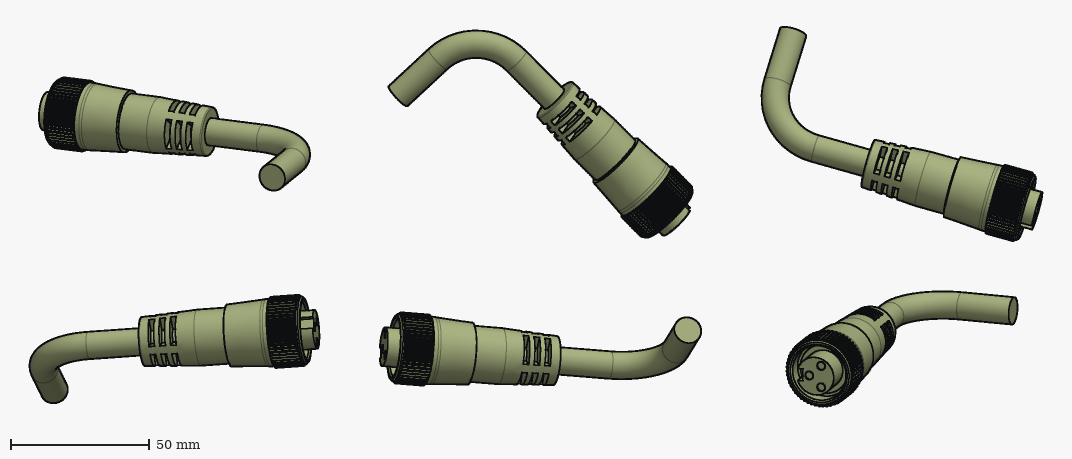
import cadquery as cq
import math

MATING_END = 3.8
NUT_END = 31.9
BOOT_END = 63.7

RIM_RADIUS = 11.6
NUT_RADIUS = 12.3
RIM_CHAMFER = NUT_RADIUS - RIM_RADIUS
TAPER_RIM_RADIUS = 12.2
TAPER_END_RADIUS = 11.3
COLLAR_END = 17.5
TAPER_START = 18.5
SOCKET_RADIUS = 10.2
SOCKET_FLOOR = 10.0
SOCKET_CHAMFER = 0.7
BARREL_RADIUS = 9.1

KNURL_START = 5.1
KNURL_END = 15.9
KNURL_RADIUS = 12.9
KNURL_CHAMFER = 0.3
TOOTH_COUNT = 55
FIRST_TOOTH_ANGLE = 90
TOOTH_TIP_WIDTH = 0.3
TOOTH_BASE_WIDTH = 1.1
TOOTH_OVERLAP = 0.3

INSERT_RADIUS = 7.1
KEYWAY_WIDTH = 4.5
KEYWAY_FLOOR = 4.8
CONTACT_RADIUS = 1.5
CONTACT_DEPTH = 0.5
CONTACTS = [(2.4, 0), (-2.2, 4.0), (-2.2, -4.0)]

BOOT_RADIUS = 10.2
BOOT_START = 32.2
BOOT_TAPER_START = 43.0
BOOT_END_RADIUS = 8.9
BOOT_FILLET = 0.4

SLOT_START = 49.9
SLOT_WIDTH = 2.1
SLOT_PITCH = 4.0
SLOT_ROWS = 3
SLOTS_PER_ROW = 4
SLOT_ANGLE = 70
SLOT_FLOOR_RADIUS = 4.3
SLOT_OVERCUT = 1.1

CABLE_RADIUS = 5.0
CABLE_STRAIGHT = 20.0
CABLE_BEND_RADIUS = 20.0


def turned(points):
    """Revolve an (X, radius) outline about the X axis."""
    return cq.Workplane("XZ").polyline(points).close().revolve(360, (0, 0, 0), (1, 0, 0))


def cylinder(start, end, radius, y=0, z=0):
    """Cylinder parallel to X."""
    return cq.Workplane("YZ", origin=(start, 0, 0)).center(y, z).circle(radius).extrude(end - start)


def knurl_tooth():
    """One tapered tooth at the top of the nut, chamfered at both ends of its tip."""
    half_base = TOOTH_BASE_WIDTH / 2
    half_tip = TOOTH_TIP_WIDTH / 2
    root = NUT_RADIUS - TOOTH_OVERLAP
    outline = [
        (-half_base, root),
        (-half_base, NUT_RADIUS),
        (-half_tip, KNURL_RADIUS),
        (half_tip, KNURL_RADIUS),
        (half_base, NUT_RADIUS),
        (half_base, root),
    ]
    return (
        cq.Workplane("YZ", origin=(KNURL_START, 0, 0))
        .polyline(outline)
        .close()
        .extrude(KNURL_END - KNURL_START)
        .edges(">Z and |Y")
        .chamfer(KNURL_CHAMFER)
    )


def make_nut():
    nut = turned([
        (MATING_END, SOCKET_RADIUS + SOCKET_CHAMFER),
        (MATING_END, RIM_RADIUS),
        (MATING_END + RIM_CHAMFER, NUT_RADIUS),
        (COLLAR_END, NUT_RADIUS),
        (TAPER_START, TAPER_RIM_RADIUS),
        (NUT_END, TAPER_END_RADIUS),
        (NUT_END, BARREL_RADIUS),
        (SOCKET_FLOOR, BARREL_RADIUS),
        (SOCKET_FLOOR, SOCKET_RADIUS),
        (MATING_END + SOCKET_CHAMFER, SOCKET_RADIUS),
    ])
    tooth = knurl_tooth().val()
    teeth = [
        tooth.rotate(cq.Vector(0, 0, 0), cq.Vector(1, 0, 0), FIRST_TOOTH_ANGLE + i * 360 / TOOTH_COUNT)
        for i in range(TOOTH_COUNT)
    ]
    return cq.Workplane(nut.val().fuse(*teeth))


def boot_slot(start):
    """Sector-shaped slot cutter, centred on +Z."""
    reach = BOOT_RADIUS + SLOT_OVERCUT
    half_angle = math.radians(SLOT_ANGLE / 2)

    def on_arc(radius, angle):
        return (radius * math.sin(angle), radius * math.cos(angle))

    return (
        cq.Workplane("YZ", origin=(start, 0, 0))
        .moveTo(*on_arc(SLOT_FLOOR_RADIUS, -half_angle))
        .lineTo(*on_arc(reach, -half_angle))
        .threePointArc((0, reach), on_arc(reach, half_angle))
        .lineTo(*on_arc(SLOT_FLOOR_RADIUS, half_angle))
        .threePointArc((0, SLOT_FLOOR_RADIUS), on_arc(SLOT_FLOOR_RADIUS, -half_angle))
        .close()
        .extrude(SLOT_WIDTH)
    )


def make_boot():
    boot = turned([
        (BOOT_START, 0),
        (BOOT_START, BOOT_RADIUS),
        (BOOT_TAPER_START, BOOT_RADIUS),
        (BOOT_END, BOOT_END_RADIUS),
        (BOOT_END, 0),
    ]).faces(">X").edges().fillet(BOOT_FILLET)
    for row in range(SLOT_ROWS):
        slot = boot_slot(SLOT_START + row * SLOT_PITCH)
        for i in range(SLOTS_PER_ROW):
            boot = boot.cut(slot.rotate((0, 0, 0), (1, 0, 0), i * 360 / SLOTS_PER_ROW))
    return boot


def make_insert():
    insert = cylinder(0, SOCKET_FLOOR, INSERT_RADIUS)
    keyway = cq.Workplane("XY").box(
        SOCKET_FLOOR, INSERT_RADIUS, KEYWAY_WIDTH, centered=(False, False, True)
    ).translate((0, KEYWAY_FLOOR, 0))
    insert = insert.cut(keyway)
    for y, z in CONTACTS:
        insert = insert.cut(cylinder(0, CONTACT_DEPTH, CONTACT_RADIUS, y, z))
    return insert


def make_cable():
    """Straight run along +X, a quarter bend, then a straight run along -Y."""
    bend_start = BOOT_END + CABLE_STRAIGHT
    turn = CABLE_BEND_RADIUS
    path = (
        cq.Workplane("XY")
        .moveTo(BOOT_END, 0)
        .lineTo(bend_start, 0)
        .radiusArc((bend_start + turn, -turn), turn)
        .lineTo(bend_start + turn, -turn - CABLE_STRAIGHT)
    )
    return cq.Workplane("YZ", origin=(BOOT_END, 0, 0)).circle(CABLE_RADIUS).sweep(path)


def make_plug():
    barrel = cylinder(SOCKET_FLOOR, BOOT_START, BARREL_RADIUS)
    return make_insert().union(barrel).union(make_boot()).union(make_cable())


coupling_nut = make_nut()
plug = make_plug()

result = cq.Compound.makeCompound([coupling_nut.solids().val(), plug.solids().val()])